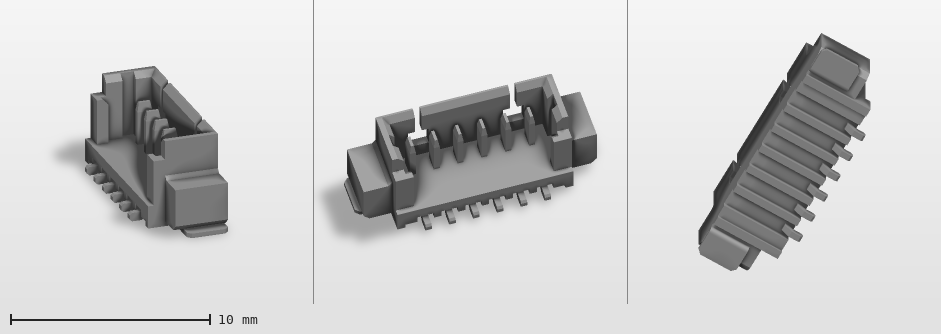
import cadquery as cq

total_width = 12.65
total_depth = 4.2
total_height = 4.7

body_half = 4.62
base_depth = 3.71
wall_depth = 2.81
floor_z = 1.29
base_z = 0.32
side_wall = 0.61
rear_wall = 0.4
rim_chamfer = 0.3

groove_start = 1.23
groove_end = 1.94

post_width = 0.95
post_depth = 3.42
post_top = 3.7
post_chamfer = 0.3

slot_center = 2.49
slot_width = 0.37
window_width = 1.09
window_bottom = 2.1
window_top = 3.24

foot_width = 0.43
foot_z = 0.09

ear_half = 6.11
ear_top = 2.63
ear_bottom = 0.34
ear_chamfer = 0.3
ear_bevel = 0.2
tab_depth = 2.2
tab_thickness = 0.24
tab_inner_x = 4.85
tab_chamfer = 0.22

pin_count = 6
pin_row_length = 6.25
pin_pitch = pin_row_length / (pin_count - 1)
pin_width = 0.32
pin_start = 0.72
pin_depth = 0.8
pin_shoulder = 3.05
pin_top = 3.54
tip_width = 0.15
tip_depth = 0.61

notch_width = 0.87
notch_top = 0.68
lead_thickness = 0.45
lead_chamfer = 0.11
lead_heel_depth = 3.57
lead_bend = 0.4
lead_inner_depth = 3.62

pin_positions = [i * pin_pitch - pin_row_length / 2 for i in range(pin_count)]


def block(x_min, x_max, depth_min, depth_max, z_min, z_max):
    """Box between two X limits, two depths and two heights."""
    size = (x_max - x_min, depth_max - depth_min, z_max - z_min)
    return cq.Workplane("XY").box(*size, centered=False).translate((x_min, -depth_max, z_min))


def centered_block(x_center, width, depth_min, depth_max, z_min, z_max):
    """Box of a given width about an X position."""
    half = width / 2
    return block(x_center - half, x_center + half, depth_min, depth_max, z_min, z_max)


def both_sides(solid):
    """The solid together with its mirror image across the YZ plane."""
    return solid.union(solid.mirror("YZ"))


def make_shroud():
    """Base and three walls, hollowed from the front and chamfered along the inner rim."""
    base = block(-body_half, body_half, 0, base_depth, base_z, floor_z)
    walls = block(-body_half, body_half, 0, wall_depth, floor_z, total_height)
    cavity_half = body_half - side_wall
    cavity = block(-cavity_half, cavity_half, rear_wall, total_depth, floor_z, total_height)

    cut_depth = total_depth - rear_wall
    rim_cut = (
        cq.Workplane("XY", origin=(0, -(rear_wall + cut_depth / 2), total_height - rim_chamfer))
        .rect(2 * cavity_half, cut_depth)
        .workplane(offset=rim_chamfer)
        .rect(2 * (cavity_half + rim_chamfer), cut_depth + 2 * rim_chamfer)
        .loft(ruled=True)
    )
    return base.union(walls.cut(cavity).cut(rim_cut))


def make_grooves():
    """Vertical grooves as deep as the rim chamfer is wide."""
    inner_x = body_half - side_wall
    groove = block(inner_x, inner_x + rim_chamfer, groove_start, groove_end, floor_z, total_height)
    return both_sides(groove)


def make_posts():
    """Front posts with the rear top edge chamfered beside the wall."""
    inner_x = body_half - post_width
    wall_x = body_half - side_wall
    post = block(inner_x, body_half, wall_depth, post_depth, floor_z, post_top)
    chamfer_cut = (
        cq.Workplane("YZ", origin=(inner_x, 0, 0))
        .moveTo(-wall_depth, post_top)
        .lineTo(-wall_depth - post_chamfer, post_top)
        .lineTo(-wall_depth, post_top - post_chamfer)
        .close()
        .extrude(wall_x - inner_x)
    )
    return both_sides(post.cut(chamfer_cut))


def make_rear_openings():
    """Slot and window through the rear wall, on both sides."""
    slot = centered_block(slot_center, slot_width, 0, rear_wall, window_top, total_height)
    window = centered_block(slot_center, window_width, 0, rear_wall, window_bottom, window_top)
    return both_sides(slot.union(window))


def make_feet():
    foot = block(body_half - foot_width, body_half, 0, base_depth, foot_z, base_z)
    return both_sides(foot)


def make_ears():
    """Side ears with a chamfered lower corner and a bevel up to the wall."""
    ear = (
        cq.Workplane("XZ")
        .moveTo(body_half, ear_bottom)
        .lineTo(ear_half - ear_chamfer, ear_bottom)
        .lineTo(ear_half, ear_bottom + ear_chamfer)
        .lineTo(ear_half, ear_top)
        .lineTo(body_half + ear_bevel, ear_top)
        .lineTo(body_half, ear_top + ear_bevel)
        .close()
        .extrude(wall_depth)
    )
    return both_sides(ear)


def make_tabs():
    """Solder tabs that leave the underside of the ears and bend outward."""
    outer_x = total_width / 2
    bend_x = tab_inner_x + tab_thickness
    inner_radius = ear_bottom - tab_thickness
    tab = (
        cq.Workplane("XZ")
        .moveTo(tab_inner_x, ear_bottom)
        .lineTo(tab_inner_x, tab_thickness)
        .radiusArc((bend_x, 0), -tab_thickness)
        .lineTo(outer_x, 0)
        .lineTo(outer_x, tab_thickness)
        .lineTo(bend_x + inner_radius, tab_thickness)
        .radiusArc((bend_x, ear_bottom), inner_radius)
        .close()
        .extrude(tab_depth)
        .edges("|Z and >X")
        .chamfer(tab_chamfer)
    )
    return both_sides(tab)


def make_pin(x):
    """Upright blade with a tapered tip."""
    pin_center = (x, -(pin_start + pin_depth / 2))
    blade = centered_block(x, pin_width, pin_start, pin_start + pin_depth, floor_z, pin_shoulder)
    tip = (
        cq.Workplane("XY", origin=(*pin_center, pin_shoulder))
        .rect(pin_width, pin_depth)
        .workplane(offset=pin_top - pin_shoulder)
        .rect(tip_width, tip_depth)
        .loft(ruled=True)
    )
    return blade.union(tip)


def make_lead(x):
    """Lead that drops from the notch roof and bends forward along the solder plane."""
    leg_rear = lead_heel_depth - lead_bend
    leg_front = lead_inner_depth - (notch_top - lead_thickness)
    return (
        cq.Workplane("YZ", origin=(x - pin_width / 2, 0, 0))
        .moveTo(-leg_rear, notch_top)
        .lineTo(-leg_rear, lead_bend)
        .lineTo(-lead_heel_depth, 0)
        .lineTo(-total_depth + lead_chamfer, 0)
        .lineTo(-total_depth, lead_chamfer)
        .lineTo(-total_depth, lead_thickness - lead_chamfer)
        .lineTo(-total_depth + lead_chamfer, lead_thickness)
        .lineTo(-lead_inner_depth, lead_thickness)
        .lineTo(-leg_front, notch_top)
        .close()
        .extrude(pin_width)
    )


housing = make_shroud().cut(make_grooves()).cut(make_rear_openings())
housing = housing.union(make_posts()).union(make_feet())
for pin_x in pin_positions:
    housing = housing.cut(centered_block(pin_x, notch_width, 0, base_depth, base_z, notch_top))

result = housing.union(make_ears()).union(make_tabs())
for pin_x in pin_positions:
    result = result.union(make_pin(pin_x)).union(make_lead(pin_x))